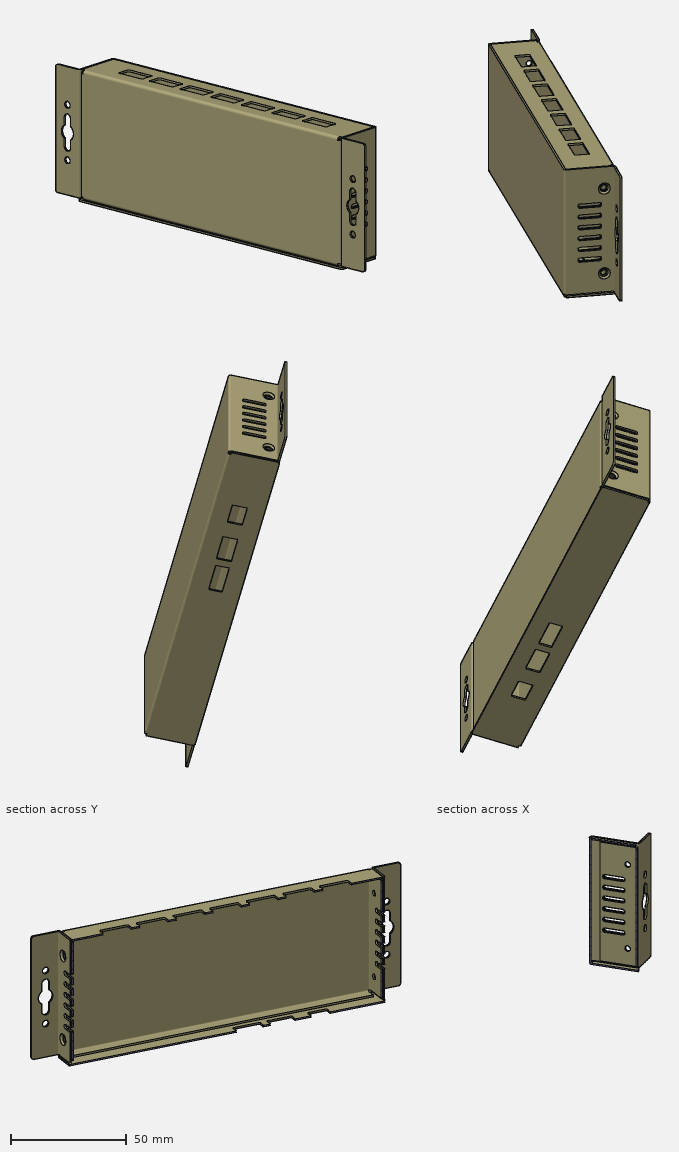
import cadquery as cq

ear_span = 179.0
depth = 22.7
height = 59.5

sheet = 0.9
half_sheet = sheet / 2
tray_bend_inner = 0.2
tray_bend_outer = tray_bend_inner + sheet
cover_bend_inner = 0.5
cover_bend_outer = cover_bend_inner + sheet

tray_width = 152.9
side_gap = 0.5
ear_corner = 1.3
flange_corner = 1.0

cover_gap = 0.2
cover_width = tray_width - 2 * (sheet + cover_gap)
cover_side_depth = 17.9
cover_bottom_depth = 5.4
top_rear_corner = 0.7

front = -depth / 2
back = depth / 2
top = height / 2
bottom = -height / 2
tray_wall_bottom = bottom + sheet + side_gap
cover_bottom = bottom + sheet

ear_hole_x = 82.7
ear_hole_z = 12.5
ear_hole_diameter = 3.0
keyhole_diameter = 7.0
keyhole_slot_width = 3.5
keyhole_slot_length = 16.8

vent_count = 6
vent_center_z = -0.2
vent_pitch = 5.0
vent_length = 10.4
vent_width = 2.0

screw_y = -6.5
screw_z = 19.7
screw_head_diameter = 5.2
screw_clearance_diameter = 3.5
screw_thread_diameter = 2.5

window_count = 7
window_row_span = 106.5
window_pitch = window_row_span / (window_count - 1)
window_length = 13.8
window_depth = 6.6
window_y = -0.2
window_corner = 0.5

window_front = window_y - window_depth / 2
window_rear = window_y + window_depth / 2
shallow_opening_rear = 2.5
bottom_openings = [
    (-50.0, -40.6, window_rear),
    (-33.0, -21.0, window_rear),
    (-17.5, -4.5, shallow_opening_rear),
]


def bent_sheet(plane, path_points, start, end, bend_inner):
    """Sheet whose mid-surface follows the path in the plane, from start to end along the normal."""
    points = [plane.toWorldCoords((u, v, start)) for u, v in path_points]
    path = cq.Wire.makePolygon(points)
    path = path.fillet(bend_inner + half_sheet, path.Vertices()[1:-1])
    first_direction = points[1] - points[0]
    section_plane = cq.Plane(points[0], xDir=plane.zDir, normal=first_direction)
    section = cq.Workplane(section_plane).center((end - start) / 2, 0).rect(end - start, sheet)
    return section.sweep(path)


def box_between(x_range, y_range, z_range):
    """Box with the given limits along X, Y and Z."""
    size = [high - low for low, high in (x_range, y_range, z_range)]
    corner = (x_range[0], y_range[0], z_range[0])
    return cq.Workplane("XY").box(*size, centered=False).translate(corner)


def ear_holes(side):
    """Keyhole and two round holes through one ear."""
    face = cq.Workplane("XZ", origin=(side * ear_hole_x, 0, 0))
    keyhole = face.circle(keyhole_diameter / 2).extrude(depth)
    slot = face.slot2D(keyhole_slot_length, keyhole_slot_width, 90).extrude(depth)
    round_holes = (
        face.pushPoints([(0, -ear_hole_z), (0, ear_hole_z)])
        .circle(ear_hole_diameter / 2)
        .extrude(depth)
    )
    return keyhole.union(slot).union(round_holes)


def side_vents():
    """Row of slots through both sides."""
    return (
        cq.Workplane("YZ", origin=(0, 0, vent_center_z))
        .rarray(1.8, vent_pitch, 1, vent_count)
        .slot2D(vent_length, vent_width)
        .extrude(tray_width, both=True)
    )


def screw_holes():
    """Screw holes through both side flanges of the cover."""
    return (
        cq.Workplane("YZ")
        .pushPoints([(screw_y, -screw_z), (screw_y, screw_z)])
        .circle(screw_thread_diameter / 2)
        .extrude(tray_width, both=True)
    )


def countersinks():
    """Conical screw seats through both tray side walls."""
    wall_outer = tray_width / 2
    head_radius = screw_head_diameter / 2
    clearance_radius = screw_clearance_diameter / 2
    seats = cq.Workplane("XY")
    for side in (-1, 1):
        for z in (-screw_z, screw_z):
            seat = cq.Solid.makeCone(
                head_radius,
                clearance_radius,
                sheet,
                pnt=cq.Vector(side * wall_outer, screw_y, z),
                dir=cq.Vector(-side, 0, 0),
            )
            seats = seats.add(seat)
    return seats.combine()


def windows():
    """Row of port windows through the top flange."""
    return (
        cq.Workplane("XY", origin=(0, window_y, top - sheet))
        .rarray(window_pitch, 1.8, window_count, 1)
        .rect(window_length, window_depth)
        .extrude(sheet)
        .edges("|Z")
        .fillet(window_corner)
    )


def make_tray():
    """Back wall with side walls, ears and a bottom flange."""
    wall_x = tray_width / 2 - half_sheet
    ear_y = front + half_sheet
    back_y = back - half_sheet
    side_path = [
        (-ear_span / 2, ear_y),
        (-wall_x, ear_y),
        (-wall_x, back_y),
        (wall_x, back_y),
        (wall_x, ear_y),
        (ear_span / 2, ear_y),
    ]
    tray = bent_sheet(cq.Plane.XY(), side_path, tray_wall_bottom, top, tray_bend_inner)
    tray = tray.edges("|Y and (<X or >X)").fillet(ear_corner)

    bend_end = tray_width / 2 - tray_bend_outer
    bottom_z = bottom + half_sheet
    bottom_path = [(back_y, 0), (back_y, bottom_z), (front, bottom_z)]
    tray = tray.union(bent_sheet(cq.Plane.YZ(), bottom_path, -bend_end, bend_end, tray_bend_inner))
    flange = box_between(
        (-tray_width / 2, tray_width / 2),
        (front, back - tray_bend_outer),
        (bottom, bottom + sheet),
    )
    tray = tray.union(flange.edges("|Z and <Y").fillet(flange_corner))

    for left, right, rear in bottom_openings:
        opening = box_between((left, right), (window_front, rear), (bottom, bottom + sheet))
        tray = tray.cut(opening.edges("|Z").fillet(window_corner))
    for side in (-1, 1):
        tray = tray.cut(ear_holes(side))
    return tray.cut(side_vents()).cut(countersinks())


def make_cover():
    """Front panel with top, bottom and side flanges; the corners are relieved at the bends."""
    side_x = cover_width / 2 - half_sheet
    front_y = front + half_sheet
    top_z = top - half_sheet
    bottom_z = cover_bottom + half_sheet
    bend_end_x = cover_width / 2 - cover_bend_outer
    flange_start_y = front + cover_bend_outer
    cover_back = back - sheet
    half_top_y = (front + cover_back) / 2

    side_end_y = front + cover_side_depth
    side_path = [(-side_x, side_end_y), (-side_x, front_y), (side_x, front_y), (side_x, side_end_y)]
    side_bottom = cover_bottom + cover_bend_outer
    side_top = top - cover_bend_outer
    cover = bent_sheet(cq.Plane.XY(), side_path, side_bottom, side_top, cover_bend_inner)

    bottom_end_y = front + cover_bottom_depth
    top_path = [
        (bottom_end_y, bottom_z),
        (front_y, bottom_z),
        (front_y, top_z),
        (half_top_y, top_z),
    ]
    top_and_bottom = bent_sheet(cq.Plane.YZ(), top_path, -bend_end_x, bend_end_x, cover_bend_inner)
    cover = cover.union(top_and_bottom)
    top_flange = box_between(
        (-cover_width / 2, cover_width / 2),
        (flange_start_y, cover_back),
        (top - sheet, top),
    )

    cover = cover.union(top_flange.edges("|Z and >Y").fillet(top_rear_corner))

    return cover.cut(windows()).cut(side_vents()).cut(screw_holes())


tray = make_tray()
cover = make_cover()

result = cq.Compound.makeCompound([tray.solids().val(), cover.solids().val()])